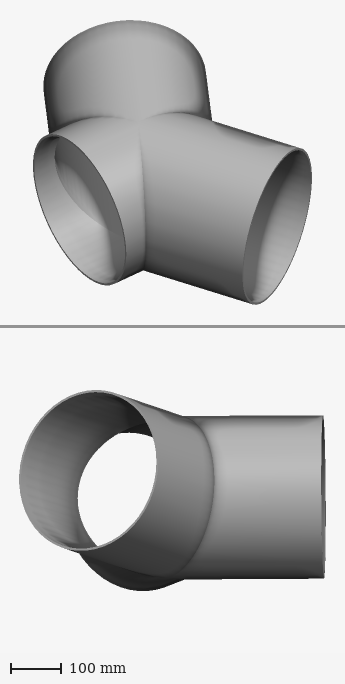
import cadquery as cq
import math

outer_diameter = 323.5
bore_diameter = 314.5
overall_width = 690.0
overall_depth = 432.5
branch_angle = 30.0
inlet_angle = -90.0
mitre_angle = 60.0

outer_radius = outer_diameter / 2
rise = math.sin(math.radians(branch_angle))
run = math.cos(math.radians(branch_angle))

branch_length = (overall_width / 2 - outer_radius * rise) / run
inlet_length = overall_depth - (branch_length * rise + outer_radius * run)

LEGS = [
    (inlet_angle, inlet_length),
    (branch_angle, branch_length),
    (180 - branch_angle, branch_length),
]


def leg(diameter, angle, length):
    """Cylinder leaving the junction, mitred to its own 120 degree sector."""
    cylinder = cq.Workplane("YZ").circle(diameter / 2).extrude(2 * length, both=True)
    half_height = outer_diameter
    slope = math.tan(math.radians(mitre_angle))
    sector = (
        cq.Workplane("XY")
        .workplane(offset=-half_height)
        .polyline([(0, 0), (length, -length * slope), (length, length * slope)])
        .close()
        .extrude(2 * half_height)
    )
    return cylinder.intersect(sector).rotate((0, 0, 0), (0, 0, 1), angle)


def three_legs(diameter):
    """Solid union of the three mitred legs."""
    body = cq.Workplane("XY")
    for angle, length in LEGS:
        body = body.union(leg(diameter, angle, length))
    return body


result = three_legs(outer_diameter).cut(three_legs(bore_diameter))